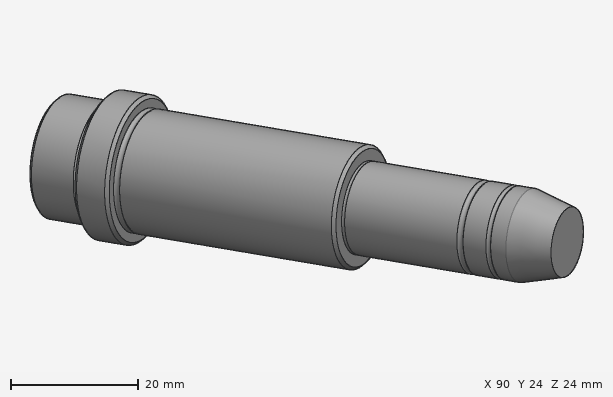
import cadquery as cq
import math

total_length = 90.0
body_diameter = 20.0
flange_diameter = 24.0
shank_diameter = 15.0

flange_start = 9.0
flange_end = 15.0
body_end = 54.0
taper_start = 83.0
taper_angle = 15.0

edge_chamfer = 0.5

relief_width = 1.1
relief_depth = 0.4
shank_relief_width = 0.5
shank_relief_depth = 0.1
rear_ring_start = 74.3
rear_ring_width = 1.1
rear_ring_depth = 0.45
front_ring_start = 79.5
front_ring_width = 0.8
front_ring_depth = 0.4

body_radius = body_diameter / 2
shank_radius = shank_diameter / 2


def cylinder(start, end, diameter):
    """Cylinder on the X axis between two positions."""
    return cq.Workplane("YZ", origin=(start, 0, 0)).circle(diameter / 2).extrude(end - start)


def arc_groove(start, width, depth, radius):
    """Ring-shaped cutter with a circular-arc floor."""
    return (
        cq.Workplane("XY")
        .moveTo(start, radius)
        .threePointArc((start + width / 2, radius - depth), (start + width, radius))
        .lineTo(start + width, radius + depth)
        .lineTo(start, radius + depth)
        .close()
        .revolve(360, (0, 0, 0), (1, 0, 0))
    )


body = cylinder(0, body_end, body_diameter).faces("<X or >X").chamfer(edge_chamfer)
flange = cylinder(flange_start, flange_end, flange_diameter).faces("<X or >X").chamfer(edge_chamfer)

taper_length = total_length - taper_start
tip_radius = shank_radius - taper_length * math.tan(math.radians(taper_angle))
shank = cylinder(body_end, taper_start, shank_diameter)
tip = cq.Workplane(
    cq.Solid.makeCone(shank_radius, tip_radius, taper_length, cq.Vector(taper_start, 0, 0), cq.Vector(1, 0, 0))
)

result = body.union(flange).union(shank).union(tip)

grooves = [
    (flange_start - relief_width, relief_width, relief_depth, body_radius),
    (flange_end, relief_width, relief_depth, body_radius),
    (body_end, shank_relief_width, shank_relief_depth, shank_radius),
    (rear_ring_start, rear_ring_width, rear_ring_depth, shank_radius),
    (front_ring_start, front_ring_width, front_ring_depth, shank_radius),
]
for start, width, depth, radius in grooves:
    result = result.cut(arc_groove(start, width, depth, radius))